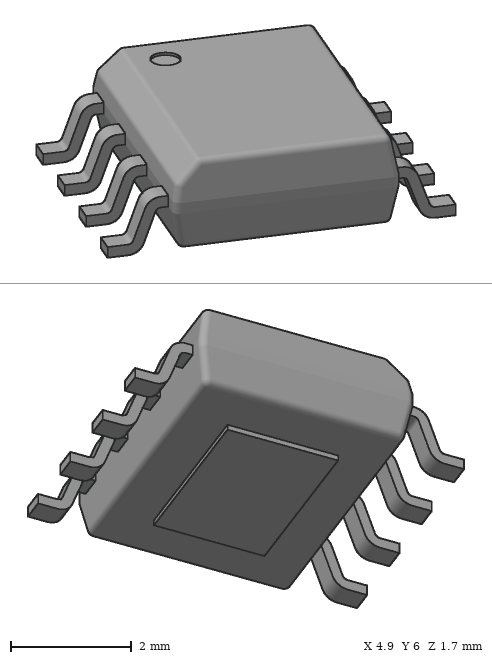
import cadquery as cq
import math

LEAD_SPAN = 6.0
TOTAL_HEIGHT = 1.7
STANDOFF = 0.1

BODY_LENGTH = 4.9
BODY_WIDTH = 3.9
DRAFT_ANGLE = 10.0
EDGE_RADIUS = 0.125
BEVEL_TOP_INSET = 0.45
BEVEL_ANGLE = 45.0

DIMPLE_DIAMETER = 0.51
DIMPLE_DEPTH = 0.05
DIMPLE_X = -1.625
DIMPLE_Y = -0.91

PAD_LENGTH = 2.9
PAD_WIDTH = 2.015

LEADS_PER_SIDE = 4
LEAD_PITCH = 1.27
LEAD_WIDTH = 0.4
LEAD_THICKNESS = 0.2
LEAD_ANGLE = 70.0
FOOT_LENGTH = 0.355
BEND_INNER_RADIUS = 0.095
BEND_OUTER_RADIUS = BEND_INNER_RADIUS + LEAD_THICKNESS
LEAD_EMBED = 0.3

TOLERANCE = 0.0005

BAND_MIDDLE = (STANDOFF + TOTAL_HEIGHT) / 2
BAND_BOTTOM = BAND_MIDDLE - LEAD_THICKNESS / 2
BAND_TOP = BAND_MIDDLE + LEAD_THICKNESS / 2


def body_section(start_z, height, taper=0.0):
    """Extrude the body's widest outline from start_z; a negative height goes down."""
    outline = cq.Workplane("XY", origin=(0, 0, start_z)).rect(BODY_LENGTH, BODY_WIDTH)
    return outline.extrude(height, taper=taper)


def bevel_cutter():
    """Wedge that removes the top edge along the -Y side."""
    top_y = -BODY_WIDTH / 2 + BEVEL_TOP_INSET
    drop = BEVEL_TOP_INSET * math.tan(math.radians(BEVEL_ANGLE))
    outline = [
        (top_y, TOTAL_HEIGHT),
        (-BODY_WIDTH / 2, TOTAL_HEIGHT),
        (-BODY_WIDTH / 2, TOTAL_HEIGHT - drop),
    ]
    return cq.Workplane("YZ").polyline(outline).close().extrude(BODY_LENGTH / 2, both=True)


def is_rounded(edge):
    """True for every body edge except the level ones bounding the parting band."""
    box = edge.BoundingBox()
    level = box.zlen < TOLERANCE
    on_band = BAND_BOTTOM - TOLERANCE < box.center.z < BAND_TOP + TOLERANCE
    return not (level and on_band)


def make_body():
    band = body_section(BAND_BOTTOM, LEAD_THICKNESS)
    upper = body_section(BAND_TOP, TOTAL_HEIGHT - BAND_TOP, DRAFT_ANGLE)
    lower = body_section(BAND_BOTTOM, STANDOFF - BAND_BOTTOM, DRAFT_ANGLE)
    block = band.union(upper).union(lower).cut(bevel_cutter())
    rounded_edges = [edge for edge in block.edges().vals() if is_rounded(edge)]
    body = block.newObject(rounded_edges).fillet(EDGE_RADIUS)
    dimple = (
        cq.Workplane("XY", origin=(DIMPLE_X, DIMPLE_Y, TOTAL_HEIGHT - DIMPLE_DEPTH))
        .circle(DIMPLE_DIAMETER / 2)
        .extrude(DIMPLE_DEPTH)
    )
    return body.cut(dimple)


def arc_point(center, radius, degrees):
    angle = math.radians(degrees)
    return (center[0] + radius * math.cos(angle), center[1] + radius * math.sin(angle))


def make_lead(x):
    """Lead on the +Y side, centred at x, bent as two concentric-arc corners."""
    tip_y = LEAD_SPAN / 2
    slope = math.radians(LEAD_ANGLE)
    lower_center = (tip_y - FOOT_LENGTH, LEAD_THICKNESS + BEND_INNER_RADIUS)
    upper_z = BAND_TOP - BEND_OUTER_RADIUS

    radius_sum = BEND_INNER_RADIUS + BEND_OUTER_RADIUS
    rise = upper_z - lower_center[1]
    run = (rise * math.cos(slope) + radius_sum) / math.sin(slope)
    upper_center = (lower_center[0] - run, upper_z)

    root_y = BODY_WIDTH / 2 - LEAD_EMBED

    leg_normal = 90 - LEAD_ANGLE
    mid_bend = 90 - LEAD_ANGLE / 2

    def upper(radius, degrees):
        return arc_point(upper_center, radius, degrees)

    def lower(radius, degrees):
        return arc_point(lower_center, radius, degrees + 180)

    profile = (
        cq.Workplane("YZ", origin=(x - LEAD_WIDTH / 2, 0, 0))
        .moveTo(root_y, BAND_TOP)
        .lineTo(*upper(BEND_OUTER_RADIUS, 90))
        .threePointArc(upper(BEND_OUTER_RADIUS, mid_bend), upper(BEND_OUTER_RADIUS, leg_normal))
        .lineTo(*lower(BEND_INNER_RADIUS, leg_normal))
        .threePointArc(lower(BEND_INNER_RADIUS, mid_bend), lower(BEND_INNER_RADIUS, 90))
        .lineTo(tip_y, LEAD_THICKNESS)
        .lineTo(tip_y, 0)
        .lineTo(*lower(BEND_OUTER_RADIUS, 90))
        .threePointArc(lower(BEND_OUTER_RADIUS, mid_bend), lower(BEND_OUTER_RADIUS, leg_normal))
        .lineTo(*upper(BEND_INNER_RADIUS, leg_normal))
        .threePointArc(upper(BEND_INNER_RADIUS, mid_bend), upper(BEND_INNER_RADIUS, 90))
        .lineTo(root_y, BAND_BOTTOM)
        .close()
    )
    return profile.extrude(LEAD_WIDTH)


def make_pad():
    """Pad from the mounting plane up to the underside of the body."""
    return cq.Workplane("XY").rect(PAD_LENGTH, PAD_WIDTH).extrude(STANDOFF)


result = make_body().union(make_pad())
for index in range(LEADS_PER_SIDE):
    lead_x = (index - (LEADS_PER_SIDE - 1) / 2) * LEAD_PITCH
    lead = make_lead(lead_x)
    result = result.union(lead).union(lead.mirror("XZ"))